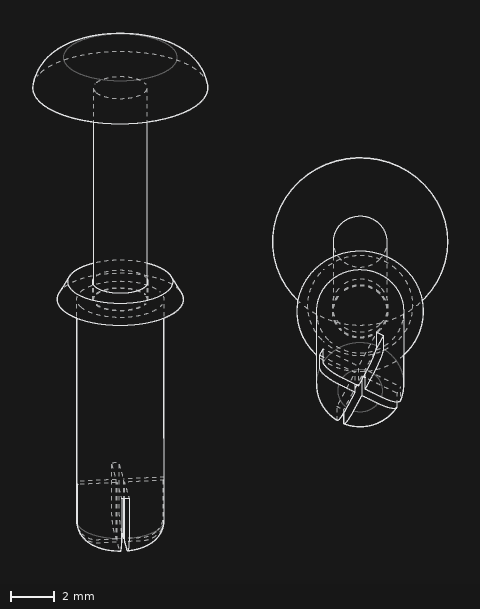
import cadquery as cq

total_height = 24.43

head_diameter = 8.0
head_height = 1.8
crown_diameter = 5.18
crown_rise = 0.3
pin_diameter = 2.45

flange_bottom_diameter = 5.77
flange_top_diameter = 4.8
flange_height = 0.88
flange_top = 12.92
sleeve_diameter = 3.98
bore_diameter = 2.55
tip_radius = 0.98

slot_width = 0.35
slot_height = 2.98
slot_angles = (45, 135)

seat_height = flange_top - flange_height


def cylinder(diameter, bottom, top):
    return cq.Workplane("XY").workplane(offset=bottom).circle(diameter / 2).extrude(top - bottom)


def make_pin():
    head_bottom = total_height - head_height
    crown_edge = (crown_diameter / 2, total_height - crown_rise)
    head_edge = (head_diameter / 2, head_bottom)
    crown_sphere_radius = (crown_edge[0] ** 2 + crown_rise ** 2) / (2 * crown_rise)
    head = (
        cq.Workplane("XZ")
        .moveTo(0, total_height)
        .radiusArc(crown_edge, crown_sphere_radius)
        .tangentArcPoint(head_edge, relative=False)
        .lineTo(0, head_bottom)
        .close()
        .revolve(360, (0, 0, 0), (0, 1, 0))
    )
    return head.union(cylinder(pin_diameter, seat_height, head_bottom))


def make_sleeve():
    body = cylinder(sleeve_diameter, 0, flange_top).faces("<Z").edges().fillet(tip_radius)
    flange = (
        cq.Workplane("XY")
        .workplane(offset=seat_height)
        .circle(flange_bottom_diameter / 2)
        .workplane(offset=flange_height)
        .circle(flange_top_diameter / 2)
        .loft()
    )
    sleeve = body.union(flange)
    return sleeve.cut(cylinder(bore_diameter, seat_height, flange_top))


def make_slot(angle):
    slot = cq.Workplane("XY").box(
        sleeve_diameter * 2, slot_width, slot_height, centered=(True, True, False)
    )
    return slot.rotate((0, 0, 0), (0, 0, 1), angle)


result = make_sleeve().union(make_pin())
for slot_angle in slot_angles:
    result = result.cut(make_slot(slot_angle))